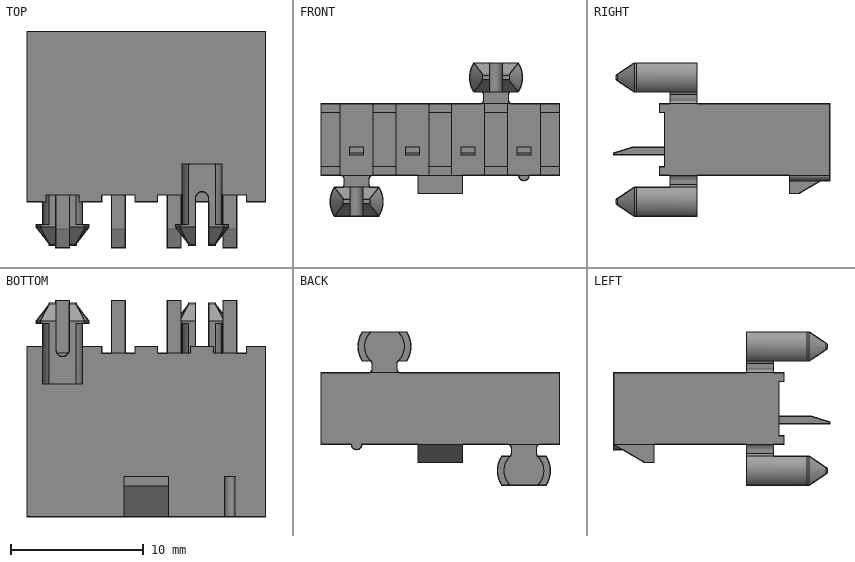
import cadquery as cq


HOUSING_WIDTH = 18.0
HOUSING_DEPTH = 12.84
HOUSING_HEIGHT = 5.4
TOP_Z = HOUSING_HEIGHT / 2
BOTTOM_Z = -TOP_Z

PIN_COUNT = 4
PIN_PITCH = 4.2
PIN_XS = [(i - (PIN_COUNT - 1) / 2) * PIN_PITCH for i in range(PIN_COUNT)]

CHANNEL_WIDTH = 2.5
CHANNEL_DEPTH = 0.51
PANEL_DEPTH = 0.36
LIP_HEIGHT = 0.67

PIN_WIDTH = 1.04
PIN_THICKNESS = 0.58
PIN_BOTTOM_Z = BOTTOM_Z + 1.55
PIN_END = 16.3
PIN_TAPER_LENGTH = 1.4
PIN_TIP_THICKNESS = 0.14
PIN_EMBED = 1.0

PEG_CENTERS = {"top": PIN_PITCH, "bottom": PIN_XS[0]}
PEG_RADIUS = 1.5
PEG_HEIGHT = 2.2
PEG_PROJECTION = 3.08
PEG_Z = TOP_Z + PEG_PROJECTION - PEG_HEIGHT / 2
PEG_START = 10.0
HEAD_RADIUS = 2.0
HEAD_START = 14.56
CONE_START = 14.74
TIP_START = 16.0
PEG_END = 16.12
TIP_RADIUS = 1.03
WEDGE_END_HEIGHT = 0.5
TIP_END_HEIGHT = 0.3
SLOT_WIDTH = 0.98
SLOT_START = 12.08
WEB_WIDTH = 1.9
WEB_LENGTH = 2.06
WEB_FLARE = 0.27
WEB_HEAD_FLARE = 0.06
WEB_HEAD_FLARE_HEIGHT = 0.18

LATCH_WIDTH = 3.36
LATCH_HEIGHT = 1.36
LATCH_LENGTH = 3.05
LATCH_FLAT = 0.72
RIB_RADIUS = 0.4
RIB_LENGTH = LATCH_LENGTH


def box(x_center, width, y_front, y_rear, z_low, z_high):
    """Box between two distances behind the mating face and two heights."""
    return (
        cq.Workplane("XY")
        .box(width, y_rear - y_front, z_high - z_low, centered=(True, False, False))
        .translate((x_center, -y_rear, z_low))
    )


def extrude_side_profile(points, x_center, width):
    """Extrude a closed (y, z) outline along X, centred on x_center."""
    return (
        cq.Workplane("YZ")
        .polyline(points)
        .close()
        .extrude(width / 2, both=True)
        .translate((x_center, 0, 0))
    )


def make_housing():
    housing = box(0, HOUSING_WIDTH, 0, HOUSING_DEPTH, BOTTOM_Z, TOP_Z)
    panel_start = HOUSING_DEPTH - PANEL_DEPTH
    panel_top = TOP_Z - LIP_HEIGHT
    housing = housing.cut(box(0, HOUSING_WIDTH, panel_start, HOUSING_DEPTH, -panel_top, panel_top))
    channel_start = HOUSING_DEPTH - CHANNEL_DEPTH
    for x in PIN_XS:
        housing = housing.cut(box(x, CHANNEL_WIDTH, channel_start, HOUSING_DEPTH, BOTTOM_Z, TOP_Z))
    return housing


def make_pin(x):
    """Flat pin whose upper face slopes down to a thin tip."""
    pin_start = HOUSING_DEPTH - CHANNEL_DEPTH - PIN_EMBED
    pin_top = PIN_BOTTOM_Z + PIN_THICKNESS
    profile = [
        (-pin_start, PIN_BOTTOM_Z),
        (-pin_start, pin_top),
        (-(PIN_END - PIN_TAPER_LENGTH), pin_top),
        (-PIN_END, PIN_BOTTOM_Z + PIN_TIP_THICKNESS),
        (-PIN_END, PIN_BOTTOM_Z),
    ]
    return extrude_side_profile(profile, x, PIN_WIDTH)


def make_web(x):
    """Neck between housing top and peg, flared at the housing and slightly at the peg."""
    half = WEB_WIDTH / 2
    foot = half + WEB_FLARE
    head = half + WEB_HEAD_FLARE
    peg_underside = PEG_Z - PEG_HEIGHT / 2
    head_flare_z = peg_underside - WEB_HEAD_FLARE_HEIGHT
    overlap_z = PEG_Z - PEG_HEIGHT / 4
    return (
        cq.Workplane("XZ", origin=(x, -PEG_START, 0))
        .moveTo(-foot, TOP_Z)
        .radiusArc((-half, TOP_Z + WEB_FLARE), -WEB_FLARE)
        .lineTo(-half, head_flare_z)
        .lineTo(-head, peg_underside)
        .lineTo(-head, overlap_z)
        .lineTo(head, overlap_z)
        .lineTo(head, peg_underside)
        .lineTo(half, head_flare_z)
        .lineTo(half, TOP_Z + WEB_FLARE)
        .radiusArc((foot, TOP_Z), -WEB_FLARE)
        .close()
        .extrude(WEB_LENGTH)
    )


def make_top_peg(x):
    """Round peg with a conical head, flattened above and below and split by a slot."""
    half_height = PEG_HEIGHT / 2
    turned = (
        cq.Workplane("XY")
        .moveTo(0, -PEG_START)
        .lineTo(PEG_RADIUS, -PEG_START)
        .lineTo(PEG_RADIUS, -HEAD_START)
        .lineTo(HEAD_RADIUS, -HEAD_START)
        .lineTo(HEAD_RADIUS, -CONE_START)
        .lineTo(TIP_RADIUS, -TIP_START)
        .lineTo(TIP_RADIUS, -PEG_END)
        .lineTo(0, -PEG_END)
        .close()
        .revolve(360, (0, 0, 0), (0, 1, 0))
    )
    side_outline = [
        (-PEG_START, half_height),
        (-CONE_START, half_height),
        (-TIP_START, WEDGE_END_HEIGHT / 2),
        (-PEG_END, TIP_END_HEIGHT / 2),
        (-PEG_END, -TIP_END_HEIGHT / 2),
        (-TIP_START, -WEDGE_END_HEIGHT / 2),
        (-CONE_START, -half_height),
        (-PEG_START, -half_height),
    ]
    peg = turned.intersect(extrude_side_profile(side_outline, 0, 2 * HEAD_RADIUS))
    peg = peg.translate((x, 0, PEG_Z)).union(make_web(x))

    slot_z = PEG_Z - half_height
    slot_center = SLOT_START + SLOT_WIDTH / 2
    slot = box(x, SLOT_WIDTH, slot_center, PEG_END, slot_z, slot_z + PEG_HEIGHT)
    slot_end = (
        cq.Workplane("XY", origin=(x, -slot_center, slot_z))
        .circle(SLOT_WIDTH / 2)
        .extrude(PEG_HEIGHT)
    )
    return peg.cut(slot.union(slot_end))


def make_latch():
    """Ramp that deepens away from the mating face and ends in a square step."""
    profile = [
        (0, BOTTOM_Z),
        (-(LATCH_LENGTH - LATCH_FLAT), BOTTOM_Z - LATCH_HEIGHT),
        (-LATCH_LENGTH, BOTTOM_Z - LATCH_HEIGHT),
        (-LATCH_LENGTH, BOTTOM_Z),
    ]
    return extrude_side_profile(profile, 0, LATCH_WIDTH)


def make_guide_rib():
    """Half-round rib below the last pin position."""
    return (
        cq.Workplane("XZ", origin=(PIN_XS[-1], 0, BOTTOM_Z))
        .circle(RIB_RADIUS)
        .extrude(RIB_LENGTH)
    )


result = make_housing()
for pin_x in PIN_XS:
    result = result.union(make_pin(pin_x))
result = result.union(make_top_peg(PEG_CENTERS["top"]))
result = result.union(make_top_peg(PEG_CENTERS["bottom"]).mirror("XY"))
result = result.union(make_latch())
result = result.union(make_guide_rib())